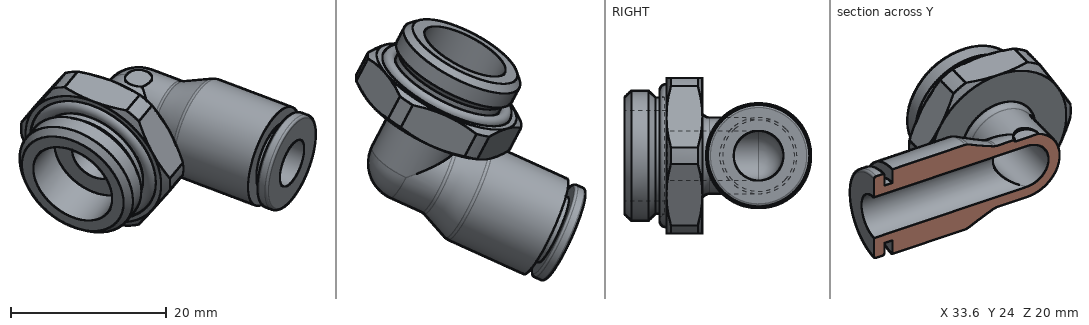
import cadquery as cq
import math


elbow_radius = 4.9
bore_radius = 3.2
badge_radius = 1.75
badge_floor_height = 4.6

hex_across_flats = 20.0
hex_corner_radius = 11.0
hex_back_y = -7.22
hex_front_y = -11.83
hex_chamfer_angle = 30
stud_flare_length = 0.95
stud_flare_width = 0.5

seal_radius = 9.2
seal_section_radius = 0.87
seal_front_y = -12.75
groove_radius = 7.5
groove_front_y = -13.25
thread_radius = 8.35
stud_front_y = -17.25
thread_chamfer_length = 0.9
counterbore_radius = 5.8
counterbore_depth = 5.5

sleeve_radius = 6.75
cone_start_x = 4.7
cone_end_x = 8.87
cone_blend_radius = 1.0
sleeve_end_x = 19.92
collar_neck_radius = 4.6
collar_radius = 6.52
collar_start_x = 21.05
collar_end_x = 22.6
collar_rounding = 0.35


def cylinder_along_x(radius, start_x, end_x):
    return cq.Workplane("YZ", origin=(start_x, 0, 0)).circle(radius).extrude(end_x - start_x)


def cylinder_along_y(radius, back_y, front_y):
    return cq.Workplane("XZ", origin=(0, back_y, 0)).circle(radius).extrude(back_y - front_y)


def revolve_about_y(profile):
    return profile.close().revolve(360, (0, 0), (0, 1))


def make_elbow():
    ball = cq.Workplane("XY").sphere(elbow_radius)
    stud_leg = cylinder_along_y(elbow_radius, 0, hex_back_y)
    sleeve_leg = cylinder_along_x(elbow_radius, 0, cone_start_x)
    return ball.union(stud_leg).union(sleeve_leg)


def make_flare():
    """Concave foot that leaves the elbow tangentially and widens toward the hexagon."""
    foot_angle = 2 * math.atan(stud_flare_width / stud_flare_length)
    arc_radius = stud_flare_length / math.sin(foot_angle)
    middle_angle = foot_angle / 2
    top_y = hex_back_y + stud_flare_length
    middle = (
        elbow_radius + arc_radius * (1 - math.cos(middle_angle)),
        top_y - arc_radius * math.sin(middle_angle),
    )
    foot = (elbow_radius + stud_flare_width, hex_back_y)
    profile = cq.Workplane("XY").moveTo(0, top_y).lineTo(elbow_radius, top_y)
    profile = profile.threePointArc(middle, foot).lineTo(0, hex_back_y)
    return revolve_about_y(profile)


def make_hexagon():
    """Hexagon with corners toward +X and -X, turned round and chamfered on both faces."""
    across_corners = hex_across_flats / math.cos(math.pi / 6)
    thickness = hex_back_y - hex_front_y
    prism = cq.Workplane("XZ", origin=(0, hex_back_y, 0)).polygon(6, across_corners).extrude(thickness)

    face_radius = hex_across_flats / 2
    chamfer_length = (hex_corner_radius - face_radius) * math.tan(math.radians(hex_chamfer_angle))
    outline = [
        (0, hex_back_y),
        (face_radius, hex_back_y),
        (hex_corner_radius, hex_back_y - chamfer_length),
        (hex_corner_radius, hex_front_y + chamfer_length),
        (face_radius, hex_front_y),
        (0, hex_front_y),
    ]
    return prism.intersect(revolve_about_y(cq.Workplane("XY").polyline(outline)))


def make_seal_ring():
    """O-ring seated in the hexagon face around the stud groove."""
    section_centre = (seal_radius - seal_section_radius, seal_front_y + seal_section_radius)
    section = cq.Workplane("XY").moveTo(*section_centre).circle(seal_section_radius)
    return section.revolve(360, (0, 0), (0, 1))


def make_thread():
    """Undercut groove followed by the thread, chamfered at both ends down to the groove radius."""
    outline = [
        (0, hex_front_y),
        (groove_radius, hex_front_y),
        (groove_radius, groove_front_y),
        (thread_radius, groove_front_y - thread_chamfer_length),
        (thread_radius, stud_front_y + thread_chamfer_length),
        (groove_radius, stud_front_y),
        (0, stud_front_y),
    ]
    return revolve_about_y(cq.Workplane("XY").polyline(outline))


def make_sleeve():
    outline = [
        (0, 0),
        (0, elbow_radius),
        (cone_start_x, elbow_radius),
        (cone_end_x, sleeve_radius),
        (sleeve_end_x, sleeve_radius),
        (sleeve_end_x, 0),
    ]
    sleeve = cq.Workplane("XY").polyline(outline).close().revolve(360, (0, 0), (1, 0))
    return sleeve.faces("%CONE").edges("%CIRCLE").fillet(cone_blend_radius)


def make_collar():
    neck = cylinder_along_x(collar_neck_radius, sleeve_end_x, collar_start_x)
    disc = cylinder_along_x(collar_radius, collar_start_x, collar_end_x)
    return neck.union(disc.edges("%CIRCLE").fillet(collar_rounding))


def make_bore():
    """Right-angled passage with a ball-shaped corner, wider in the stud."""
    corner = cq.Workplane("XY").sphere(bore_radius)
    stud_bore = cylinder_along_y(bore_radius, 0, stud_front_y)
    sleeve_bore = cylinder_along_x(bore_radius, 0, collar_end_x)
    counterbore = cylinder_along_y(counterbore_radius, stud_front_y + counterbore_depth, stud_front_y)
    return corner.union(stud_bore).union(sleeve_bore).union(counterbore)


def make_badge_recess():
    """Shallow flat-floored round recess on the upper side of the elbow corner."""
    depth = elbow_radius - badge_floor_height
    return cq.Workplane("XY", origin=(0, 0, badge_floor_height)).circle(badge_radius).extrude(depth)


body = make_elbow().union(make_flare()).union(make_hexagon())
body = body.union(make_seal_ring()).union(make_thread())
body = body.union(make_sleeve()).union(make_collar())
result = body.cut(make_bore()).cut(make_badge_recess())